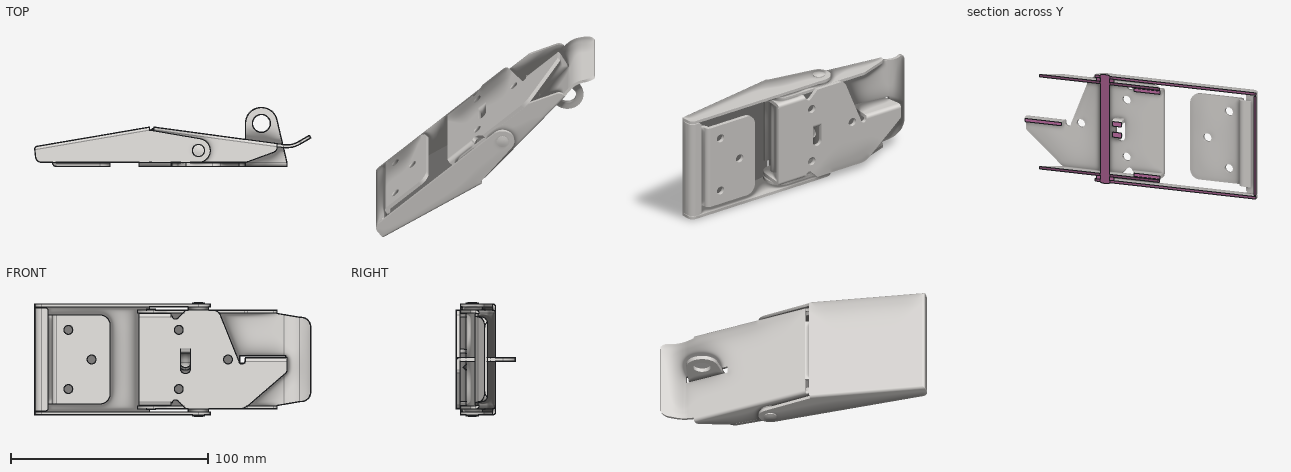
import cadquery as cq
import math


plate_sheet = 2.0
cover_sheet = 1.5
screw_hole_radius = 2.2
screw_row_half_pitch = 15.0
floor_gap = 2.1
bend_share = 0.99
far = 168.0

frame_half_width = 28.1
frame_ridge_x = 58.2
frame_ridge_height = 20.0
frame_end_height = 10.1
frame_lip_length = 6.9
frame_lip_bend = 3.1
frame_end_tilt = 6.0
frame_lip_slit = 0.4
frame_slit_height = 8.3
frame_lip_corner = 1.0

pivot_x = 83.0
pivot_y = 8.1
pivot_radius = 3.1
pivot_rim_rise = 0.4
pivot_dome_rise = 0.4
pivot_boss_radius = pivot_y - floor_gap
washer_radius = 5.2

lever_half_width = 25.0
lever_start_x = 60.6
lever_start_height = 20.0
lever_slope = 7.7
lever_channel_end_x = 122.9
lever_nose_radius = 8.3
lever_nose_x = 60.3
lever_wall_corner = 2.8
lever_wall_rise_x = 107.1
lever_wall_rise_radius = 4.2
lever_wall_rise = 20.0
tab_bend_x = 126.3
tab_bend_radius = 12.6
tab_angle = 30.0
tab_end_x = 140.0
tab_root_half_width = 23.4
tab_taper_x = 134.4
tab_taper_half_width = 21.4
tab_corner = 5.0
stop_end_x = 55.6
stop_joggle_x = 57.7
stop_joggle_end_x = 61.9
stop_joggle_top_x = 57.3
stop_joggle_top_end_x = 61.0
stop_height = 16.2
stop_half_width = 17.0
lug_slot_start_x = 104.0
lug_slot_end_x = 127.3
lug_slot_half_width = 1.8

base_start_x = 52.8
base_end_x = 128.0
base_half_width = lever_half_width
flange_play = 0.1
flange_half_width = lever_half_width - cover_sheet - flange_play
flange_end_x = 69.2
relief_radius = 1.7
flange_relief_x = 71.4
flange_relief_z = 22.1
wing_end_x = 93.1
wing_corner = 4.2
lug_relief_radius = 1.5
lug_relief_x = 105.0
lug_relief_z = -0.8
nose_corner_z = -6.3
nose_corner = 2.1
tail_corner_x = 106.3
tail_corner = 8.4
base_screws = [(73.1, screw_row_half_pitch), (73.1, -screw_row_half_pitch), (98.0, 0)]

lug_start_x = 106.8
lug_eye_radius = 8.1
lug_hole_radius = 4.5
lug_eye_x = lug_start_x + lug_eye_radius
lug_eye_y = 21.8
lug_half_sheet = plate_sheet / 2

tongue_x = 76.5
tongue_width = 5.2
tongue_slot_top = 5.3
tongue_slot_bottom = -7.1
tongue_root_bend = 2.1
tongue_root_length = 2.0
tongue_curl_radius = 2.8
tongue_curl = 135.0
tongue_tip_length = 3.5
tongue_tip_corner = 2.5

rod_x = 59.0
rod_y = 12.3
rod_radius = 2.2
rod_half_length = 25.5
flange_end_radius = 5.9

strike_half_width = 22.5
strike_end_x = 38.2
strike_corner = 5.0
strike_bend_x = 11.0
strike_front_bend = 2.1
strike_back_bend = 1.7
strike_hook_x = 3.6
strike_screws = [(17.1, screw_row_half_pitch), (17.1, -screw_row_half_pitch), (28.8, 0)]


def near(x, y, z):
    """Selector for the edge whose centre is nearest to a point."""
    return cq.selectors.NearestToPointSelector((x, y, z))


def slab(profile, z_low, z_high):
    """Extrude a closed XY profile between two Z levels."""
    return profile.extrude(z_high - z_low).translate((0, 0, z_low))


def rod_between(x, y, radius, z_low, z_high):
    """Round bar parallel to Z."""
    return slab(cq.Workplane("XY").center(x, y).circle(radius), z_low, z_high)


def mirrored(shape):
    """A shape together with its mirror image about Z = 0."""
    return shape.union(shape.mirror("XY"))


def box_between(low, high):
    """Axis-aligned box between two corners."""
    size = [b - a for a, b in zip(low, high)]
    return cq.Workplane("XY").box(*size, centered=False).translate(low)


def screw_holes(places):
    """Cutters for the screw holes of a plate, at (x, z) places."""
    return cq.Workplane("XZ").pushPoints(places).circle(screw_hole_radius).extrude(-plate_sheet)


def tangent_point(point, centre, radius, side):
    """Where a line from a point touches a circle; side picks one of the two."""
    dx = point[0] - centre[0]
    dy = point[1] - centre[1]
    angle = math.atan2(dy, dx) + side * math.acos(radius / math.hypot(dx, dy))
    return (centre[0] + radius * math.cos(angle), centre[1] + radius * math.sin(angle))


def make_strike():
    """Screwed-down plate with a joggled hook that sits behind the lip of the frame."""
    hook_x = strike_bend_x - strike_front_bend - strike_back_bend
    hook_front = strike_front_bend + strike_back_bend
    hook_back = hook_front + plate_sheet
    inner_bend = strike_front_bend - plate_sheet
    outer_bend = strike_back_bend + plate_sheet
    diagonal = math.sqrt(0.5)
    profile = (
        cq.Workplane("XY")
        .moveTo(strike_end_x, 0)
        .lineTo(strike_bend_x, 0)
        .threePointArc(
            (strike_bend_x - strike_front_bend * diagonal, strike_front_bend * (1 - diagonal)),
            (strike_bend_x - strike_front_bend, strike_front_bend),
        )
        .threePointArc(
            (hook_x + strike_back_bend * diagonal, strike_front_bend + strike_back_bend * diagonal),
            (hook_x, hook_front),
        )
        .lineTo(strike_hook_x, hook_front)
        .lineTo(strike_hook_x, hook_back)
        .lineTo(hook_x, hook_back)
        .threePointArc(
            (hook_x + outer_bend * diagonal, strike_front_bend + outer_bend * diagonal),
            (hook_x + outer_bend, strike_front_bend),
        )
        .threePointArc(
            (strike_bend_x - inner_bend * diagonal, strike_front_bend - inner_bend * diagonal),
            (strike_bend_x, plate_sheet),
        )
        .lineTo(strike_end_x, plate_sheet)
        .close()
    )
    strike = slab(profile, -strike_half_width, strike_half_width)
    strike = strike.edges("|Y and >X").fillet(strike_corner)
    return strike.cut(screw_holes(strike_screws))


def make_frame():
    """Channel with two side walls, a sloping back and an end wall ending in a lip."""
    slope = math.atan2(frame_ridge_height - frame_end_height, frame_ridge_x)
    back_depth = cover_sheet / math.cos(slope)
    shoulder = (frame_ridge_x, frame_ridge_height - back_depth)
    boss_top = tangent_point(shoulder, (pivot_x, pivot_y), pivot_boss_radius, -1)
    tilt = math.radians(frame_end_tilt)
    corner_run = cover_sheet * math.tan((math.pi / 2 - slope + tilt) / 2)
    corner_x = cover_sheet * (1 - math.cos(tilt)) - corner_run * math.sin(tilt)
    corner_y = frame_end_height + corner_x * math.tan(slope)
    foot_x = corner_x + (corner_y - floor_gap) * math.tan(tilt)
    outline = (
        cq.Workplane("XY")
        .moveTo(foot_x, floor_gap)
        .lineTo(corner_x, corner_y)
        .lineTo(frame_ridge_x, frame_ridge_height)
        .lineTo(*shoulder)
        .lineTo(*boss_top)
        .threePointArc((pivot_x + pivot_boss_radius, pivot_y), (pivot_x, floor_gap))
        .close()
    )
    frame = slab(outline, -frame_half_width, frame_half_width)
    frame = frame.edges(near(foot_x, floor_gap, 0)).fillet(frame_lip_bend)
    middle = (frame_ridge_x / 2, (frame_end_height + frame_ridge_height) / 2)
    end_bend = near(corner_x, corner_y, 0)
    side_bends = near(*middle, frame_half_width) + near(*middle, -frame_half_width)
    frame = frame.edges(end_bend + side_bends).fillet(cover_sheet * bend_share)

    inner_half_width = frame_half_width - cover_sheet
    lip_back = floor_gap + cover_sheet
    wall_depth = cover_sheet / math.cos(tilt)
    inner_foot_x = foot_x + wall_depth - cover_sheet * math.tan(tilt)
    inner_x = inner_foot_x - (corner_y - back_depth - lip_back) * math.tan(tilt)
    inner_y = frame_end_height + inner_x * math.tan(slope) - back_depth
    hollow = (
        cq.Workplane("XY")
        .polyline([
            (frame_lip_length, 0),
            (frame_lip_length, lip_back),
            (inner_foot_x, lip_back),
            (inner_x, inner_y),
            shoulder,
            (frame_ridge_x, far),
            (far, far),
            (far, 0),
        ])
        .close()
    )
    hollow = slab(hollow, -inner_half_width, inner_half_width)
    inner_corner = near(inner_foot_x, lip_back, 0)
    frame = frame.cut(hollow.edges(inner_corner).fillet(frame_lip_bend - cover_sheet))

    slit = box_between(
        (-cover_sheet, 0, inner_half_width - frame_lip_slit),
        (frame_lip_length, frame_slit_height, inner_half_width),
    )
    frame = frame.cut(mirrored(slit))
    lip_half_width = inner_half_width - frame_lip_slit
    corner = (
        cq.Workplane("XZ")
        .polyline([
            (frame_lip_length - frame_lip_corner, lip_half_width),
            (frame_lip_length, lip_half_width - frame_lip_corner),
            (frame_lip_length, lip_half_width),
        ])
        .close()
        .extrude(-lip_back)
    )
    frame = frame.cut(mirrored(corner))
    return frame.cut(rod_between(pivot_x, pivot_y, pivot_radius, -far, far))


def lever_top(x):
    """Height of the outer face of the lever's back."""
    return lever_start_height - (x - lever_start_x) * math.tan(math.radians(lever_slope))


def lever_tab():
    """Tapered finger tab that continues the back and turns up."""
    slope = math.radians(lever_slope)
    rise = math.radians(tab_angle)
    back_depth = cover_sheet / math.cos(slope)
    top_bend_radius = tab_bend_radius - cover_sheet
    start = (tab_bend_x, lever_top(tab_bend_x) - back_depth)
    centre = (
        start[0] + tab_bend_radius * math.sin(slope),
        start[1] + tab_bend_radius * math.cos(slope),
    )

    def on_bend(radius, angle):
        return (centre[0] + radius * math.sin(angle), centre[1] - radius * math.cos(angle))

    middle = (rise - slope) / 2
    bend_end = on_bend(tab_bend_radius, rise)
    tip = (tab_end_x, bend_end[1] + (tab_end_x - bend_end[0]) * math.tan(rise))
    tip_top = (tip[0] - cover_sheet * math.sin(rise), tip[1] + cover_sheet * math.cos(rise))
    profile = (
        cq.Workplane("XY")
        .moveTo(lever_channel_end_x, lever_top(lever_channel_end_x) - back_depth)
        .lineTo(*start)
        .threePointArc(on_bend(tab_bend_radius, middle), bend_end)
        .lineTo(*tip)
        .lineTo(*tip_top)
        .lineTo(*on_bend(top_bend_radius, rise))
        .threePointArc(on_bend(top_bend_radius, middle), on_bend(top_bend_radius, -slope))
        .lineTo(lever_channel_end_x, lever_top(lever_channel_end_x))
        .close()
    )
    sheet = slab(profile, -lever_half_width, lever_half_width)
    taper = (
        cq.Workplane("XZ")
        .polyline([
            (lever_channel_end_x, -tab_root_half_width),
            (tab_taper_x, -tab_taper_half_width),
            (tab_end_x, -tab_taper_half_width),
            (tab_end_x, tab_taper_half_width),
            (tab_taper_x, tab_taper_half_width),
            (lever_channel_end_x, tab_root_half_width),
        ])
        .close()
        .extrude(-far)
        .edges("|Y and >X")
        .fillet(tab_corner)
    )
    return sheet.intersect(taper)


def lever_stop():
    """Lip joggled down from the back's end to reach under the ridge of the frame."""
    back_depth = cover_sheet / math.cos(math.radians(lever_slope))
    profile = (
        cq.Workplane("XY")
        .polyline([
            (stop_end_x, stop_height),
            (stop_joggle_x, stop_height),
            (stop_joggle_end_x, lever_top(stop_joggle_end_x) - back_depth),
            (stop_joggle_top_end_x, lever_top(stop_joggle_top_end_x)),
            (stop_joggle_top_x, stop_height + cover_sheet),
            (stop_end_x, stop_height + cover_sheet),
        ])
        .close()
    )
    return slab(profile, -stop_half_width, stop_half_width)


def make_lever():
    """Channel with round-nosed walls, a slot for the padlock lug and a finger tab."""
    back_depth = cover_sheet / math.cos(math.radians(lever_slope))
    nose_y = floor_gap + lever_nose_radius
    wall_rise = (lever_channel_end_x - lever_wall_rise_x) * math.tan(math.radians(lever_wall_rise))
    outline = (
        cq.Workplane("XY")
        .moveTo(lever_nose_x, floor_gap)
        .threePointArc(
            (lever_nose_x - lever_nose_radius, nose_y),
            (lever_nose_x, nose_y + lever_nose_radius),
        )
        .lineTo(lever_start_x, lever_start_height)
        .lineTo(lever_channel_end_x, lever_top(lever_channel_end_x))
        .lineTo(lever_channel_end_x, floor_gap + wall_rise)
        .lineTo(lever_wall_rise_x, floor_gap)
        .close()
    )
    lever = slab(outline, -lever_half_width, lever_half_width)
    end_corner = near(lever_channel_end_x, floor_gap + wall_rise, 0)
    lever = lever.edges(end_corner).fillet(lever_wall_corner)
    rise_corner = near(lever_wall_rise_x, floor_gap, 0)
    lever = lever.edges(rise_corner).fillet(lever_wall_rise_radius)
    middle_x = (lever_start_x + lever_channel_end_x) / 2
    near_bend = near(middle_x, lever_top(middle_x), lever_half_width)
    far_bend = near(middle_x, lever_top(middle_x), -lever_half_width)
    lever = lever.edges(near_bend + far_bend).fillet(cover_sheet * bend_share)

    inner_half_width = lever_half_width - cover_sheet
    hollow = (
        cq.Workplane("XY")
        .polyline([
            (0, 0),
            (0, far),
            (lever_start_x, far),
            (lever_start_x, lever_start_height - back_depth),
            (lever_channel_end_x, lever_top(lever_channel_end_x) - back_depth),
            (lever_channel_end_x, 0),
        ])
        .close()
    )
    lever = lever.cut(slab(hollow, -inner_half_width, inner_half_width))
    lever = lever.union(lever_tab()).union(lever_stop())
    lever = lever.cut(box_between(
        (lug_slot_start_x, 0, -lug_slot_half_width),
        (lug_slot_end_x, lever_start_height, lug_slot_half_width),
    ))
    lever = lever.cut(rod_between(pivot_x, pivot_y, pivot_radius, -far, far))
    return lever.cut(rod_between(rod_x, rod_y, rod_radius, -far, far))


def base_plate():
    """Flat part of the base with its wings, relief notches and screw holes."""
    notch_run = relief_radius * math.sqrt(0.5)
    notch_tip = (flange_relief_x + notch_run, flange_relief_z - notch_run)
    run_z = base_half_width - notch_tip[1]

    def outline(points):
        return cq.Workplane("XZ").polyline(points).close().extrude(-plate_sheet)

    plate = outline([
        (base_start_x, -base_half_width),
        (tail_corner_x, -base_half_width),
        (base_end_x, nose_corner_z),
        (base_end_x, lug_half_sheet),
        (lug_start_x, lug_half_sheet),
        (lug_relief_x + lug_relief_radius, lug_relief_z),
        (lug_relief_x - lug_relief_radius, lug_relief_z),
        (wing_end_x, base_half_width),
        (base_start_x, base_half_width),
    ])
    for x, z, radius in (
        (tail_corner_x, -base_half_width, tail_corner),
        (base_end_x, nose_corner_z, nose_corner),
        (wing_end_x, base_half_width, wing_corner),
    ):
        corner = near(x, plate_sheet / 2, z)
        plate = plate.edges(corner).fillet(radius)

    beside_flange = box_between(
        (base_start_x, 0, flange_half_width),
        (flange_end_x, plate_sheet, base_half_width),
    )
    notch = outline([
        (flange_end_x, base_half_width),
        (flange_end_x, flange_relief_z),
        (flange_relief_x - relief_radius, flange_relief_z),
        notch_tip,
        (notch_tip[0] + run_z, base_half_width),
    ])
    notch_end = (
        cq.Workplane("XZ")
        .center(flange_relief_x, flange_relief_z)
        .circle(relief_radius)
        .extrude(-plate_sheet)
    )
    lug_notch = (
        cq.Workplane("XZ")
        .center(lug_relief_x, lug_relief_z)
        .circle(lug_relief_radius)
        .extrude(-plate_sheet)
    )
    plate = plate.cut(mirrored(beside_flange.union(notch).union(notch_end)))
    return plate.cut(lug_notch).cut(screw_holes(base_screws))


def base_flange():
    """Upright ear at +Z that carries the rod."""
    foot = (flange_end_x, plate_sheet)
    ear_end = tangent_point(foot, (rod_x, rod_y), flange_end_radius, 1)
    profile = (
        cq.Workplane("XY")
        .moveTo(base_start_x, 0)
        .lineTo(rod_x - flange_end_radius, rod_y)
        .threePointArc((rod_x, rod_y + flange_end_radius), ear_end)
        .lineTo(*foot)
        .lineTo(flange_end_x, 0)
        .close()
    )
    flange = slab(profile, flange_half_width - plate_sheet, flange_half_width)
    bend = near((base_start_x + flange_end_x) / 2, 0, flange_half_width)
    return flange.edges(bend).fillet(plate_sheet * bend_share)


def padlock_lug():
    """Upright eye bent up from the edge of the base."""
    foot = (base_end_x, plate_sheet)
    eye = (lug_eye_x, lug_eye_y)
    profile = (
        cq.Workplane("XY")
        .moveTo(lug_start_x, 0)
        .lineTo(lug_start_x, lug_eye_y)
        .threePointArc(
            (lug_eye_x, lug_eye_y + lug_eye_radius),
            tangent_point(foot, eye, lug_eye_radius, 1),
        )
        .lineTo(*foot)
        .lineTo(base_end_x, 0)
        .close()
    )
    lug = slab(profile, -lug_half_sheet, lug_half_sheet)
    bend = near((lug_start_x + base_end_x) / 2, 0, lug_half_sheet)
    lug = lug.edges(bend).fillet(plate_sheet * bend_share)
    return lug.cut(rod_between(*eye, lug_hole_radius, -lug_half_sheet, lug_half_sheet))


def tongue_slot():
    """Opening left by the tongue: square at the top and round at the bottom."""
    half = tongue_width / 2
    return (
        cq.Workplane("XZ")
        .moveTo(tongue_x - half, tongue_slot_top)
        .lineTo(tongue_x + half, tongue_slot_top)
        .lineTo(tongue_x + half, tongue_slot_bottom + half)
        .threePointArc((tongue_x, tongue_slot_bottom), (tongue_x - half, tongue_slot_bottom + half))
        .close()
        .extrude(-plate_sheet)
    )


def tongue():
    """Strip that bends inwards at the slot's top and curls back towards the slot."""
    root_inner = tongue_root_bend - plate_sheet
    curl_outer = tongue_curl_radius + plate_sheet
    root_z = tongue_slot_top
    bend_y = tongue_root_bend
    curl_y = bend_y + tongue_root_length
    curl_z = root_z - tongue_root_bend - tongue_curl_radius
    curl = math.radians(tongue_curl)
    diagonal = math.sqrt(0.5)

    def on_curl(radius, angle):
        return (curl_y + radius * math.sin(angle), curl_z + radius * math.cos(angle))

    def beyond_curl(radius):
        y, z = on_curl(radius, curl)
        return (y + tongue_tip_length * math.cos(curl), z - tongue_tip_length * math.sin(curl))

    strip = (
        cq.Workplane("YZ")
        .moveTo(0, root_z)
        .threePointArc(
            (bend_y - tongue_root_bend * diagonal, root_z - tongue_root_bend * diagonal),
            (bend_y, root_z - tongue_root_bend),
        )
        .lineTo(*on_curl(tongue_curl_radius, 0))
        .threePointArc(on_curl(tongue_curl_radius, curl / 2), on_curl(tongue_curl_radius, curl))
        .lineTo(*beyond_curl(tongue_curl_radius))
        .lineTo(*beyond_curl(curl_outer))
        .lineTo(*on_curl(curl_outer, curl))
        .threePointArc(on_curl(curl_outer, curl / 2), on_curl(curl_outer, 0))
        .lineTo(bend_y, root_z - root_inner)
        .threePointArc(
            (bend_y - root_inner * diagonal, root_z - root_inner * diagonal),
            (plate_sheet, root_z),
        )
        .close()
        .extrude(tongue_width)
        .translate((tongue_x - tongue_width / 2, 0, 0))
    )
    tip_y, tip_z = beyond_curl(tongue_curl_radius + plate_sheet / 2)
    half = tongue_width / 2
    tip_corners = near(tongue_x - half, tip_y, tip_z) + near(tongue_x + half, tip_y, tip_z)
    return strip.edges(tip_corners).fillet(tongue_tip_corner)


def make_base():
    """Screwed-down plate with rod ears, a padlock lug and a curled tongue."""
    ear_room = box_between(
        (base_start_x, 0, flange_half_width - plate_sheet),
        (flange_end_x, plate_sheet, flange_half_width),
    )
    lug_room = box_between(
        (lug_start_x, 0, -lug_half_sheet),
        (base_end_x, plate_sheet, lug_half_sheet),
    )
    base = base_plate().cut(mirrored(ear_room)).cut(lug_room).cut(tongue_slot())
    base = base.union(mirrored(base_flange())).union(padlock_lug()).union(tongue())
    return base.cut(rod_between(rod_x, rod_y, rod_radius, -far, far))


def make_pivot_pin():
    """Pin across the latch with a low dome on each end."""
    rim = frame_half_width + pivot_rim_rise
    sphere = (pivot_radius ** 2 + pivot_dome_rise ** 2) / (2 * pivot_dome_rise)
    angle = math.asin(pivot_radius / sphere) / 2
    dome_middle = (
        sphere * math.sin(angle),
        rim + pivot_dome_rise - sphere * (1 - math.cos(angle)),
    )
    profile = (
        cq.Workplane("XZ")
        .moveTo(0, 0)
        .lineTo(pivot_radius, 0)
        .lineTo(pivot_radius, rim)
        .threePointArc(dome_middle, (0, rim + pivot_dome_rise))
        .close()
    )
    half_pin = profile.revolve(360, (0, 0, 0), (0, 1, 0)).translate((pivot_x, pivot_y, 0))
    return mirrored(half_pin)


def make_washer(side):
    """Spacer between the lever and the frame, at +Z or -Z."""
    levels = sorted([side * lever_half_width, side * (frame_half_width - cover_sheet)])
    disc = rod_between(pivot_x, pivot_y, washer_radius, *levels)
    return disc.cut(rod_between(pivot_x, pivot_y, pivot_radius, *levels))


def make_rod():
    """Plain rod through the lever and the ears of the base."""
    return rod_between(rod_x, rod_y, rod_radius, -rod_half_length, rod_half_length)


strike = make_strike()
frame = make_frame()
lever = make_lever()
base = make_base()
pivot_pin = make_pivot_pin()
rod = make_rod()
washers = [make_washer(side).val() for side in (-1, 1)]

result = cq.Compound.makeCompound([
    strike.solids().val(),
    frame.solids().val(),
    lever.solids().val(),
    base.solids().val(),
    pivot_pin.solids().val(),
    rod.solids().val(),
    *washers,
])